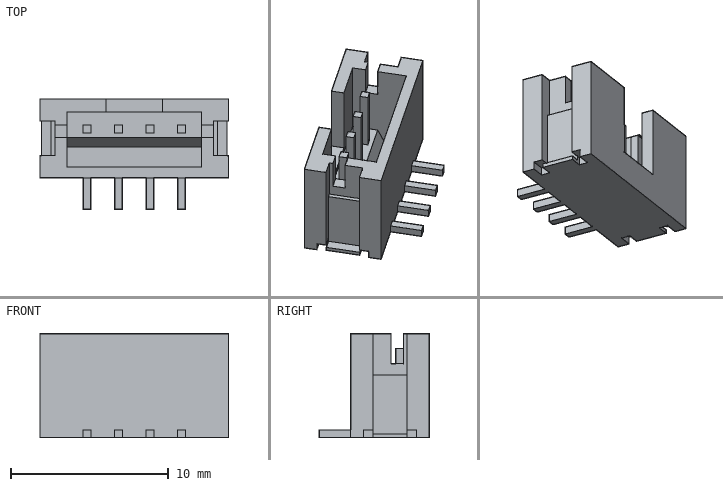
import cadquery as cq

body_length = 11.95
body_depth = 5.0
body_height = 6.6

cavity_length = 8.56
front_wall = 0.69
rear_wall = 0.81
front_floor = 0.5
floor_rise = 1.2
rear_floor = front_floor + floor_rise
ramp_front_y = -0.54
ramp_rear_y = 0.06

key_width = 3.58
key_floor = 2.0
slot_front_y = ramp_rear_y
slot_rear_y = 0.85
slot_floor = 4.7

recess_depth = 0.95
recess_width = 2.17
foot_notch_width = 3.37
foot_notch_height = 0.5
tab_thickness = 0.25
tab_height = 3.99
tab_inset = 0.08

contact_count = 4
contact_pitch = 2.0
contact_size = 0.5
contact_top = 5.66
leg_reach = 2.01
contact_rear_y = slot_rear_y

half_length = body_length / 2
half_depth = body_depth / 2
cavity_front_y = -half_depth + front_wall
cavity_rear_y = half_depth - rear_wall


def block(x_range, y_range, z_range):
    """Axis-aligned box spanning the given ranges."""
    spans = [high - low for low, high in (x_range, y_range, z_range)]
    corner = (x_range[0], y_range[0], z_range[0])
    return cq.Workplane("XY").box(*spans, centered=False).translate(corner)


def centred(width):
    return (-width / 2, width / 2)


def make_cavity():
    """Open-topped cavity with a ramp between its two floor levels."""
    profile = [
        (cavity_front_y, body_height),
        (cavity_front_y, front_floor),
        (ramp_front_y, front_floor),
        (ramp_rear_y, rear_floor),
        (cavity_rear_y, rear_floor),
        (cavity_rear_y, body_height),
    ]
    return cq.Workplane("YZ").polyline(profile).close().extrude(cavity_length / 2, both=True)


def make_end_cuts():
    """Recess and foot notch at the -X end."""
    recess_x = (-half_length, -half_length + recess_depth)
    recess = block(recess_x, centred(recess_width), (0, body_height))
    return recess.union(block(recess_x, centred(foot_notch_width), (0, foot_notch_height)))


def make_tab():
    """L-shaped solder tab at the -X end, flat against the recess."""
    inner_x = -half_length + recess_depth
    upright = block((inner_x - tab_thickness, inner_x), centred(recess_width), (0, tab_height))
    foot = block((-half_length + tab_inset, inner_x), centred(recess_width), (0, tab_thickness))
    return upright.union(foot)


def make_contact(x):
    """Upright pin joined to a leg lying on the board plane."""
    x_range = (x - contact_size / 2, x + contact_size / 2)
    pin = block(x_range, (contact_rear_y - contact_size, contact_rear_y), (0, contact_top))
    leg = block(x_range, (-half_depth - leg_reach, contact_rear_y), (0, contact_size))
    return pin.union(leg)


body = block(centred(body_length), centred(body_depth), (0, body_height))
body = body.cut(make_cavity())

body = body.cut(block(centred(key_width), (cavity_rear_y, half_depth), (key_floor, body_height)))
body = body.cut(block(centred(body_length), (slot_front_y, slot_rear_y), (slot_floor, body_height)))

end_cuts = make_end_cuts()
body = body.cut(end_cuts).cut(end_cuts.mirror("YZ"))

tab = make_tab()
result = body.union(tab).union(tab.mirror("YZ"))

for index in range(contact_count):
    contact_x = (index - (contact_count - 1) / 2) * contact_pitch
    result = result.union(make_contact(contact_x))